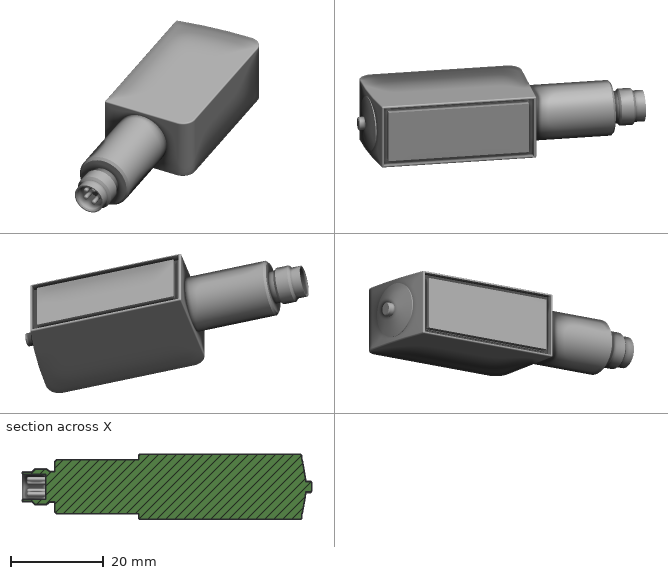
import cadquery as cq
import math


HOUSING_LEFT = -9.0
HOUSING_RIGHT = 11.35
HOUSING_HEIGHT = 14.0
HOUSING_CREST_Y = 35.5
BACK_RADIUS = 90.0
CORNER_RADIUS = 3.0
BACK_CREST_X = HOUSING_RIGHT - CORNER_RADIUS
EDGE_FILLET = 0.3

WINDOW_FRONT_Y = 0.6
WINDOW_BACK_Y = 33.4
WINDOW_HEIGHT = 13.2
GROOVE_WIDTH = 0.85
GROOVE_DEPTH = 1.5
FOOT_WIDTH = 0.2
FOOT_HEIGHT = 0.2

CAP_RADIUS = 5.9
CAP_RIM_HEIGHT = 0.1
CAP_CONE_HEIGHT = 1.1
CAP_ROOT = 1.0
BUTTON_X = 0.28
BUTTON_RADIUS = 1.45
BUTTON_CHAMFER = 0.2
BUTTON_TOP_Y = 37.35

PLUG_ROOT = 3.0
SLEEVE_RADIUS = 6.0
SLEEVE_END = 18.0
SLEEVE_CHAMFER = 0.5
NECK_RADIUS = 3.5
TIP_RADIUS = 3.4
COLLAR_RADIUS = 4.0
COLLAR_BACK = 19.1
COLLAR_FRONT = 22.9
COLLAR_TAPER = 0.55
PLUG_END = 25.0
BORE_RADIUS = 2.9
BORE_CHAMFER = 0.25
BORE_DEPTH = 5.0

PIN_RADIUS = 0.5
PIN_TIP_FILLET = 0.4
PIN_SETBACK = 1.0
PIN_CIRCLE_RADIUS = 1.68
PIN_ANGLES = (73, 147, -147, -73)


def back_face_y(x):
    """Y of the curved back face at a given x."""
    rise = math.sqrt(BACK_RADIUS**2 - (x - BACK_CREST_X) ** 2)
    return HOUSING_CREST_Y - BACK_RADIUS + rise


def housing():
    block = (
        cq.Workplane("XY", origin=(0, 0, -HOUSING_HEIGHT / 2))
        .moveTo(HOUSING_LEFT, 0)
        .lineTo(BACK_CREST_X, 0)
        .tangentArcPoint((HOUSING_RIGHT, CORNER_RADIUS), relative=False)
        .lineTo(HOUSING_RIGHT, HOUSING_CREST_Y - CORNER_RADIUS)
        .tangentArcPoint((BACK_CREST_X, HOUSING_CREST_Y), relative=False)
        .tangentArcPoint((HOUSING_LEFT, back_face_y(HOUSING_LEFT)), relative=False)
        .close()
        .extrude(HOUSING_HEIGHT)
    )
    return block.faces("<X or >Z or <Z").edges().fillet(EDGE_FILLET)


def window_box(inset, depth):
    """A box let into the left face, its sides inset from the window edge."""
    length = WINDOW_BACK_Y - WINDOW_FRONT_Y - 2 * inset
    height = WINDOW_HEIGHT - 2 * inset
    box = cq.Workplane("XY").box(depth, length, height, centered=(False, False, True))
    return box.translate((HOUSING_LEFT, WINDOW_FRONT_Y + inset, 0))


def window_groove():
    upper = window_box(0, GROOVE_DEPTH - FOOT_HEIGHT)
    upper = upper.cut(window_box(GROOVE_WIDTH + FOOT_WIDTH, GROOVE_DEPTH))
    lower = window_box(0, GROOVE_DEPTH).cut(window_box(GROOVE_WIDTH, GROOVE_DEPTH))
    return upper.union(lower)


def cap():
    tilt = math.degrees(math.asin(BACK_CREST_X / BACK_RADIUS))
    profile = (
        cq.Workplane("XY")
        .moveTo(0, -CAP_ROOT)
        .lineTo(CAP_RADIUS, -CAP_ROOT)
        .lineTo(CAP_RADIUS, CAP_RIM_HEIGHT)
        .lineTo(0, CAP_RIM_HEIGHT + CAP_CONE_HEIGHT)
        .close()
    )
    cone = profile.revolve(360, (0, 0), (0, 1))
    base_y = back_face_y(0)
    button = (
        cq.Workplane("XZ", origin=(BUTTON_X, BUTTON_TOP_Y, 0))
        .circle(BUTTON_RADIUS)
        .extrude(BUTTON_TOP_Y - base_y)
        .faces(">Y")
        .chamfer(BUTTON_CHAMFER)
    )
    return cone.rotate((0, 0, 0), (0, 0, 1), tilt).translate((0, base_y, 0)).union(button)


def plug():
    profile = (
        cq.Workplane("XY")
        .moveTo(0, PLUG_ROOT)
        .lineTo(SLEEVE_RADIUS, PLUG_ROOT)
        .lineTo(SLEEVE_RADIUS, SLEEVE_CHAMFER - SLEEVE_END)
        .lineTo(SLEEVE_RADIUS - SLEEVE_CHAMFER, -SLEEVE_END)
        .lineTo(NECK_RADIUS, -SLEEVE_END)
        .lineTo(NECK_RADIUS, -COLLAR_BACK)
        .lineTo(COLLAR_RADIUS, -COLLAR_BACK - COLLAR_TAPER)
        .lineTo(COLLAR_RADIUS, -COLLAR_FRONT + COLLAR_TAPER)
        .lineTo(TIP_RADIUS, -COLLAR_FRONT)
        .lineTo(TIP_RADIUS, -PLUG_END)
        .lineTo(BORE_RADIUS + BORE_CHAMFER, -PLUG_END)
        .lineTo(BORE_RADIUS, BORE_CHAMFER - PLUG_END)
        .lineTo(BORE_RADIUS, BORE_DEPTH - PLUG_END)
        .lineTo(0, BORE_DEPTH - PLUG_END)
        .close()
    )
    body = profile.revolve(360, (0, 0), (0, 1))
    for angle in PIN_ANGLES:
        x = PIN_CIRCLE_RADIUS * math.cos(math.radians(angle))
        z = PIN_CIRCLE_RADIUS * math.sin(math.radians(angle))
        pin = (
            cq.Workplane("XZ", origin=(x, BORE_DEPTH - PLUG_END, z))
            .circle(PIN_RADIUS)
            .extrude(BORE_DEPTH - PIN_SETBACK)
            .faces("<Y")
            .fillet(PIN_TIP_FILLET)
        )
        body = body.union(pin)
    return body


result = housing().cut(window_groove()).union(cap()).union(plug())